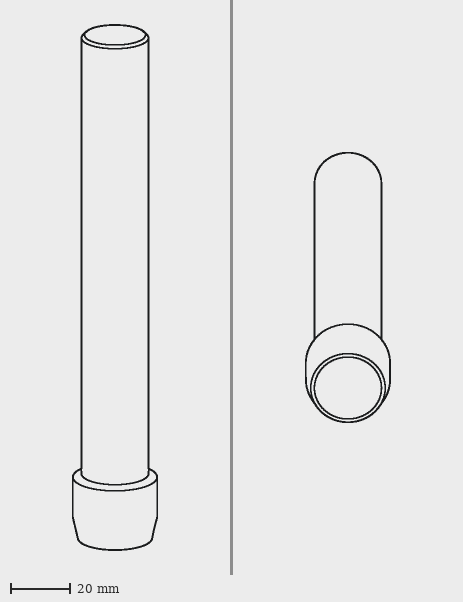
import cadquery as cq

rod_length = 180.0
rod_diameter = 22.7
rod_chamfer = 1.0

sleeve_diameter = 28.575
sleeve_foot_diameter = 25.2
sleeve_taper_height = 7.5
sleeve_rim_height = 21.8
sleeve_height = 23.0

rod_radius = rod_diameter / 2
sleeve_radius = sleeve_diameter / 2
sleeve_foot_radius = sleeve_foot_diameter / 2


def revolve_about_z(profile):
    """Turn a closed radius-height outline, drawn on the YZ plane, about the Z axis."""
    return profile.close().revolve(360, (0, 0, 0), (0, 1, 0))


def make_rod():
    """Plain round rod with a small chamfer around its top end."""
    profile = (
        cq.Workplane("YZ")
        .moveTo(0, 0)
        .lineTo(-rod_radius, 0)
        .lineTo(-rod_radius, rod_length - rod_chamfer)
        .lineTo(-(rod_radius - rod_chamfer), rod_length)
        .lineTo(0, rod_length)
    )
    return revolve_about_z(profile)


def make_sleeve():
    """Ring around the foot of the rod: tapered foot, straight wall and shallow conical top."""
    profile = (
        cq.Workplane("YZ")
        .moveTo(-rod_radius, 0)
        .lineTo(-sleeve_foot_radius, 0)
        .lineTo(-sleeve_radius, sleeve_taper_height)
        .lineTo(-sleeve_radius, sleeve_rim_height)
        .lineTo(-rod_radius, sleeve_height)
    )
    return revolve_about_z(profile)


rod = make_rod()
sleeve = make_sleeve()

result = cq.Compound.makeCompound([rod.val(), sleeve.val()])